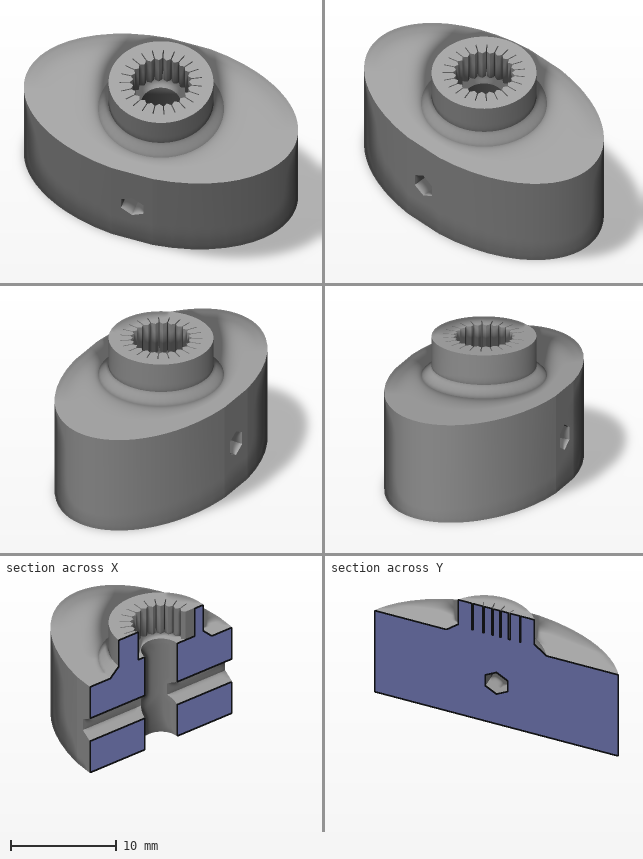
import cadquery as cq
import math

body_length = 27.0
body_width = 16.8
flat_length = 4.13
oval_width = body_width / math.sqrt(1 - (flat_length / body_length) ** 2)
body_height = 10.0

hub_diameter = 10.0
total_height = 14.0
cone_height = 1.0
cone_diameter = hub_diameter + 2 * cone_height

bore_diameter = 3.8
tooth_count = 23
socket_root_radius = 3.0
socket_crest_radius = 2.67
socket_depth = 3.2
slit_tip_radius = 3.95
slit_width = 0.1

hex_across_corners = 2.6
hex_height = body_height / 2


def make_body():
    """Elliptical block with its two broad sides cut flat."""
    oval = cq.Workplane("XY").ellipse(body_length / 2, oval_width / 2).extrude(body_height)
    flats = cq.Workplane("XY").box(
        body_length, body_width, body_height, centered=(True, True, False)
    )
    return oval.intersect(flats)


def make_hub():
    """Cylinder with a conical foot, revolved about Z."""
    return (
        cq.Workplane("XZ")
        .moveTo(0, body_height)
        .lineTo(cone_diameter / 2, body_height)
        .lineTo(hub_diameter / 2, body_height + cone_height)
        .lineTo(hub_diameter / 2, total_height)
        .lineTo(0, total_height)
        .close()
        .revolve(360, (0, 0, 0), (0, 1, 0))
    )


def polar_point(radius, angle):
    return (radius * math.cos(angle), radius * math.sin(angle))


def make_socket():
    """Star-shaped pocket with a thin radial slit at every tooth root."""
    pitch = 2 * math.pi / tooth_count
    first_root = math.pi / 2
    star = []
    for tooth in range(tooth_count):
        root_angle = first_root + tooth * pitch
        star.append(polar_point(socket_root_radius, root_angle))
        star.append(polar_point(socket_crest_radius, root_angle + pitch / 2))

    floor = cq.Workplane("XY").workplane(offset=total_height - socket_depth)
    socket = floor.polyline(star).close().extrude(socket_depth)

    slit_length = slit_tip_radius - socket_crest_radius
    slit_middle_radius = (socket_crest_radius + slit_tip_radius) / 2
    slits = (
        floor.polarArray(slit_middle_radius, math.degrees(first_root), 360, tooth_count)
        .rect(slit_length, slit_width)
        .extrude(socket_depth)
    )
    return socket.union(slits)


def make_bore():
    return cq.Workplane("XY").circle(bore_diameter / 2).extrude(total_height)


def make_cross_hole():
    """Hexagonal hole along Y, with corners pointing up and down."""
    quarter_turn = 90
    return (
        cq.Workplane("XZ", origin=(0, 0, hex_height))
        .transformed(rotate=(0, 0, quarter_turn))
        .polygon(6, hex_across_corners)
        .extrude(body_width, both=True)
    )


result = make_body().union(make_hub()).cut(make_bore()).cut(make_socket()).cut(make_cross_hole())